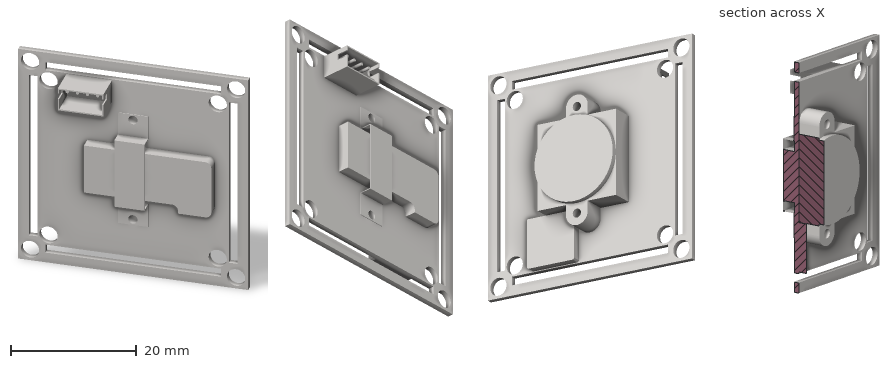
import cadquery as cq

BOARD_SIZE = 38.0
BOARD_THICKNESS = 1.0
MOUNT_HOLE_DIAMETER = 3.0
OUTER_HOLE_OFFSET = 17.02
INNER_HOLE_OFFSET = 14.0
SLOT_OUTER_EDGE = 17.25
SLOT_WIDTH = 1.45
SLOT_LENGTH = 29.05

SCREW_OFFSET = 9.0
SCREW_HOLE_DIAMETER = 1.52

HOLDER_SIZE = 14.55
HOLDER_HEIGHT = 4.0
EAR_RADIUS = 2.0
RING_DIAMETER = HOLDER_SIZE
RING_HEIGHT = 1.0

COMPONENT_LEFT = EAR_RADIUS
COMPONENT_RIGHT = 10.83
COMPONENT_TOP = -HOLDER_SIZE / 2
COMPONENT_BOTTOM = -15.65
COMPONENT_HEIGHT = 1.5
COMPONENT_CHAMFER = 0.25

CONNECTOR_LEFT = -11.02
CONNECTOR_WIDTH = 7.52
CONNECTOR_TOP = 15.65
CONNECTOR_DEPTH = 3.95
CONNECTOR_HEIGHT = 5.0
CONNECTOR_WALL = 0.23
CONNECTOR_FLOOR = 0.5
SIDE_NOTCH_TOP = 14.8
SIDE_NOTCH_WIDTH = 1.03
SIDE_NOTCH_DEPTH = 2.05
PIN_COUNT = 4
PIN_PITCH = 1.67
PIN_DIAMETER = 0.55
PIN_HEIGHT = 3.95
PIN_Z = 14.65

CARD_LEFT = -7.55
CARD_RIGHT = 13.5
CARD_TOP = 4.25
CARD_NARROW_BOTTOM = -CARD_TOP
CARD_WIDE_BOTTOM = -5.75
CARD_STEP_X = 7.98
CARD_THICKNESS = 2.0
CARD_CORNER_RADIUS = 1.0

STRAP_WIDTH = 5.0
STRAP_LENGTH = 20.0
STRAP_BRIDGE_LENGTH = 12.0
STRAP_THICKNESS = 0.1


def box(x_start, x_end, y_start, y_end, z_start, z_end):
    """Box between the given limits on each axis."""
    size = (x_end - x_start, y_end - y_start, z_end - z_start)
    return cq.Workplane("XY").box(*size, centered=False).translate((x_start, y_start, z_start))


def centered_block(x_size, z_size, y_start, y_end):
    """Box centred on the Y axis."""
    return box(-x_size / 2, x_size / 2, y_start, y_end, -z_size / 2, z_size / 2)


def cylinders(points, diameter, y_start, y_end):
    """Cylinders along Y, one at each (x, z) point."""
    plane = cq.Workplane("XZ", origin=(0, y_start, 0))
    return plane.pushPoints(points).circle(diameter / 2).extrude(y_start - y_end)


def square_corners(offset):
    """The four (x, z) corners of a square centred on the Y axis."""
    return [(x, z) for x in (-offset, offset) for z in (-offset, offset)]


SCREW_POINTS = [(0, -SCREW_OFFSET), (0, SCREW_OFFSET)]
HOLDER_BACK = BOARD_THICKNESS + HOLDER_HEIGHT


def make_plate():
    """Square plate with mounting holes and four break-away slots."""
    plate = centered_block(BOARD_SIZE, BOARD_SIZE, 0, BOARD_THICKNESS)
    hole_points = square_corners(OUTER_HOLE_OFFSET) + square_corners(INNER_HOLE_OFFSET)
    plate = plate.cut(cylinders(hole_points, MOUNT_HOLE_DIAMETER, 0, BOARD_THICKNESS))
    slot = box(
        -SLOT_LENGTH / 2, SLOT_LENGTH / 2,
        0, BOARD_THICKNESS,
        SLOT_OUTER_EDGE - SLOT_WIDTH, SLOT_OUTER_EDGE,
    )
    for angle in (0, 90, 180, 270):
        plate = plate.cut(slot.rotate((0, 0, 0), (0, 1, 0), angle))
    return plate


def make_lens_holder():
    """Square block with two rounded screw ears and a round ring on its back."""
    block = centered_block(HOLDER_SIZE, HOLDER_SIZE, BOARD_THICKNESS, HOLDER_BACK)
    ear_bar = centered_block(2 * EAR_RADIUS, 2 * SCREW_OFFSET, BOARD_THICKNESS, HOLDER_BACK)
    ear_ends = cylinders(SCREW_POINTS, 2 * EAR_RADIUS, BOARD_THICKNESS, HOLDER_BACK)
    ring = cylinders([(0, 0)], RING_DIAMETER, HOLDER_BACK, HOLDER_BACK + RING_HEIGHT)
    screw_holes = cylinders(SCREW_POINTS, SCREW_HOLE_DIAMETER, BOARD_THICKNESS, HOLDER_BACK)
    return block.union(ear_bar).union(ear_ends).union(ring).cut(screw_holes)


def make_component():
    """Low block in the corner beside the lower ear, with chamfered lower corners."""
    component = box(
        COMPONENT_LEFT, COMPONENT_RIGHT,
        BOARD_THICKNESS, BOARD_THICKNESS + COMPONENT_HEIGHT,
        COMPONENT_BOTTOM, COMPONENT_TOP,
    )
    return component.faces("<Z").edges("|Y").chamfer(COMPONENT_CHAMFER)


def make_connector():
    """Open box with a row of pins and a notch through both side walls."""
    right = CONNECTOR_LEFT + CONNECTOR_WIDTH
    bottom = CONNECTOR_TOP - CONNECTOR_DEPTH
    shell = box(CONNECTOR_LEFT, right, -CONNECTOR_HEIGHT, 0, bottom, CONNECTOR_TOP)
    cavity = box(
        CONNECTOR_LEFT + CONNECTOR_WALL, right - CONNECTOR_WALL,
        -CONNECTOR_HEIGHT, -CONNECTOR_FLOOR,
        bottom + CONNECTOR_WALL, CONNECTOR_TOP - CONNECTOR_WALL,
    )
    side_notch = box(
        CONNECTOR_LEFT, right,
        -CONNECTOR_HEIGHT, SIDE_NOTCH_DEPTH - CONNECTOR_HEIGHT,
        SIDE_NOTCH_TOP - SIDE_NOTCH_WIDTH, SIDE_NOTCH_TOP,
    )
    first_pin_x = CONNECTOR_LEFT + (CONNECTOR_WIDTH - (PIN_COUNT - 1) * PIN_PITCH) / 2
    pin_points = [(first_pin_x + i * PIN_PITCH, PIN_Z) for i in range(PIN_COUNT)]
    pins = cylinders(pin_points, PIN_DIAMETER, -PIN_HEIGHT, 0)
    return shell.cut(cavity).cut(side_notch).union(pins)


def make_card():
    """Flat card with a stepped lower edge, lying on the board under the strap."""
    outline = [
        (CARD_LEFT, CARD_TOP),
        (CARD_RIGHT, CARD_TOP),
        (CARD_RIGHT, CARD_WIDE_BOTTOM),
        (CARD_STEP_X, CARD_WIDE_BOTTOM),
        (CARD_STEP_X, CARD_NARROW_BOTTOM),
        (CARD_LEFT, CARD_NARROW_BOTTOM),
    ]
    card = cq.Workplane("XZ").polyline(outline).close().extrude(CARD_THICKNESS)
    step_corner = cq.selectors.NearestToPointSelector(
        (CARD_STEP_X, -CARD_THICKNESS / 2, CARD_NARROW_BOTTOM)
    )
    card = card.edges(step_corner).fillet(CARD_CORNER_RADIUS)
    return card.faces(">X").edges("|Y").fillet(CARD_CORNER_RADIUS)


def make_strap():
    """Thin hat-shaped strap that bridges the card and is screwed down at both feet."""
    bridge_front = -CARD_THICKNESS - STRAP_THICKNESS
    feet = centered_block(STRAP_WIDTH, STRAP_LENGTH, -STRAP_THICKNESS, 0)
    bridge = centered_block(STRAP_WIDTH, STRAP_BRIDGE_LENGTH, bridge_front, 0)
    opening_length = STRAP_BRIDGE_LENGTH - 2 * STRAP_THICKNESS
    opening = centered_block(STRAP_WIDTH, opening_length, -CARD_THICKNESS, 0)
    screw_holes = cylinders(SCREW_POINTS, SCREW_HOLE_DIAMETER, -STRAP_THICKNESS, 0)
    return feet.union(bridge).cut(opening).cut(screw_holes)


def make_board():
    """Board in one piece with its card, strap and small component, drilled for the screws."""
    board = make_plate().union(make_card()).union(make_strap()).union(make_component())
    return board.cut(cylinders(SCREW_POINTS, SCREW_HOLE_DIAMETER, 0, BOARD_THICKNESS))


board = make_board()
lens_holder = make_lens_holder()
connector = make_connector()

result = cq.Compound.makeCompound([board.val(), lens_holder.val(), connector.val()])